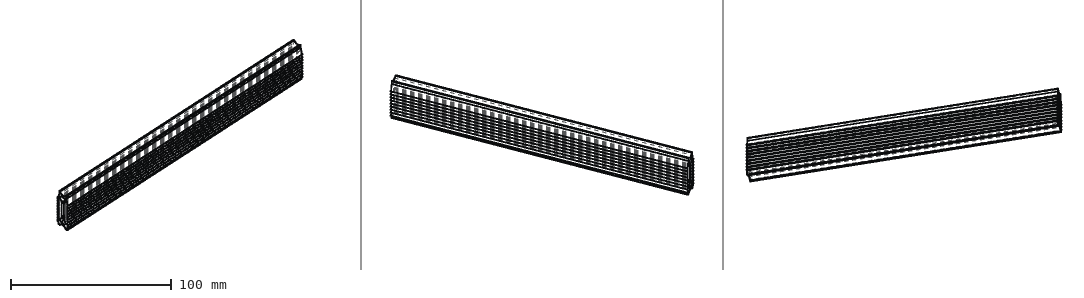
import cadquery as cq
import math

length = 200.0
width = 10.5
height = 28.5

body_half = 4.0
neck_half = 3.2
neck_z = 12.0
shoulder_z = 9.2
shoulder_bulge = 0.1
top_horn_half = 3.5
bottom_horn_half = 4.0
groove_half = 2.5
top_groove_depth = 1.5
bottom_groove_depth = 1.5

fin_count = 9
fin_pitch = 2.5
fin_top_z = 7.5
fin_rise = 0.2
fin_height = 1.2
upper_blend = 0.8
lower_blend = 0.5
root_overlap = 0.5

bore_radius = 2.3
bore_z = 9.5
bore_flat_z = 11.0
slot_width = 2.0
slot_height = 12.5
passage_width = 0.5

half_height = height / 2


def extrude_outline(outline):
    """Extrude an XZ outline over the full length, centred in Y."""
    return outline.extrude(length / 2, both=True)


def make_body():
    arc_x = (body_half + neck_half) / 2 + shoulder_bulge
    arc_z = (shoulder_z + neck_z) / 2
    outline = (
        cq.Workplane("XZ")
        .moveTo(-bottom_horn_half, -half_height)
        .lineTo(-groove_half, -half_height)
        .threePointArc((0, bottom_groove_depth - half_height), (groove_half, -half_height))
        .lineTo(bottom_horn_half, -half_height)
        .lineTo(body_half, shoulder_z)
        .threePointArc((arc_x, arc_z), (neck_half, neck_z))
        .lineTo(top_horn_half, half_height)
        .lineTo(groove_half, half_height)
        .threePointArc((0, half_height - top_groove_depth), (-groove_half, half_height))
        .lineTo(-top_horn_half, half_height)
        .lineTo(-neck_half, neck_z)
        .threePointArc((-arc_x, arc_z), (-body_half, shoulder_z))
        .close()
    )
    return extrude_outline(outline)


def make_fin(side, tip_z):
    """One fin on the +X (side = 1) or -X (side = -1) wall."""
    inner_x = side * (body_half - root_overlap)
    wall_x = side * body_half
    trough_z = tip_z - fin_rise
    tip_x = side * width / 2
    reach = width / 2 - body_half
    slope_length = math.hypot(reach, fin_height)
    blend_x = wall_x + side * lower_blend * reach / slope_length
    blend_z = tip_z - fin_height * (1 - lower_blend / slope_length)
    outline = (
        cq.Workplane("XZ")
        .moveTo(inner_x, trough_z + upper_blend)
        .lineTo(wall_x, trough_z + upper_blend)
        .radiusArc((wall_x + side * upper_blend, trough_z), -side * upper_blend)
        .lineTo(tip_x, tip_z)
        .lineTo(blend_x, blend_z)
        .tangentArcPoint((wall_x, tip_z - fin_height - lower_blend), relative=False)
        .lineTo(inner_x, tip_z - fin_height - lower_blend)
        .close()
    )
    return extrude_outline(outline)


def make_channels():
    bores = extrude_outline(
        cq.Workplane("XZ").pushPoints([(0, bore_z), (0, -bore_z)]).circle(bore_radius)
    )
    flat_limit = cq.Workplane("XY").box(width, length, 2 * bore_flat_z)
    bores = bores.intersect(flat_limit)
    slot = cq.Workplane("XY").box(slot_width, length, slot_height)
    passage = cq.Workplane("XY").box(passage_width, length, 2 * bore_z)
    return bores.union(slot).union(passage)


result = make_body()
for index in range(fin_count):
    for side in (1, -1):
        result = result.union(make_fin(side, fin_top_z - index * fin_pitch))
result = result.cut(make_channels())